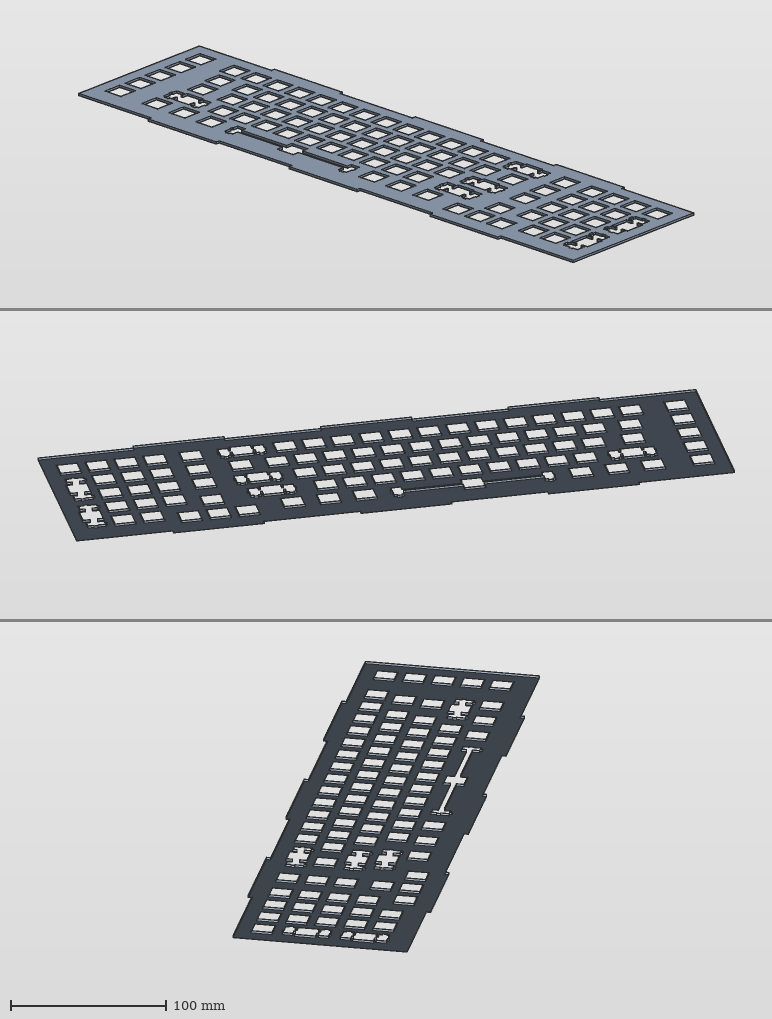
import cadquery as cq

LENGTH = 434.5
WIDTH = 120.0
THICKNESS = 1.6
TAB_LENGTH = 60.0
TAB_HEIGHT = 2.75
TAB_SPACING = 124.0

NUMBER_ROW_SPAN = 228.5
PITCH = NUMBER_ROW_SPAN / 12
FIRST_KEY_X = -171.0
MIDDLE_ROW_Y = 2.45
MACRO_COLUMN_X = -200.8
SWITCH = 14.0

STAB_OFFSET = 11.7
SPACEBAR_STAB_OFFSET = 50.0
STAB_WIDTH = 7.0
STAB_ABOVE = 5.5
STAB_BELOW = 6.5
FOOT_WIDTH = 3.0
FOOT_DEPTH = 1.5
SIDE_NOTCH_DEPTH = 1.0
SIDE_NOTCH_HEIGHT = 2.5
SIDE_NOTCH_RISE = 0.5
CHANNEL_HEIGHT = 4.8
SPACEBAR_CHANNEL_HEIGHT = 4.0

NAVIGATION_COLUMN = 15.25
NUMPAD_COLUMN = 16.5
ARROW_DROP = 0.25
TOP_ROW, TAB_ROW, MIDDLE_ROW, SHIFT_ROW, BOTTOM_ROW = range(5)


def run(first, count, step=1.0):
    """Column positions of evenly spaced keys."""
    return [first + i * step for i in range(count)]


MAIN_ROWS = [
    run(0, 13),
    [0.25] + run(1.5, 12) + [13.75],
    [0.375] + run(1.75, 11),
    run(2.25, 10),
    run(0.125, 3, 1.25) + run(10.125, 3, 1.25),
]
NUMPAD_ROWS = [
    run(NUMPAD_COLUMN, 4),
    run(NUMPAD_COLUMN, 3),
    run(NUMPAD_COLUMN, 3),
    run(NUMPAD_COLUMN, 3),
    run(NUMPAD_COLUMN + 1, 2),
]
WIDE_KEYS = [(13.5, TOP_ROW), (13.375, MIDDLE_ROW), (0.625, SHIFT_ROW), (13.125, SHIFT_ROW)]
TALL_KEYS = [(NUMPAD_COLUMN + 3, TAB_ROW + 0.5), (NUMPAD_COLUMN + 3, SHIFT_ROW + 0.5)]
SPACEBAR = (6.375, BOTTOM_ROW)


def key_centre(column, row):
    return (FIRST_KEY_X + column * PITCH, MIDDLE_ROW_Y + (MIDDLE_ROW - row) * PITCH)


def slab(x_size, y_size, x=0.0, y=0.0):
    """Rectangular block as thick as the plate, centred on (x, y)."""
    return cq.Workplane("XY").box(x_size, y_size, THICKNESS).translate((x, y, 0))


def plate():
    body = slab(LENGTH, WIDTH - 2 * TAB_HEIGHT)
    for x in (-TAB_SPACING, 0, TAB_SPACING):
        body = body.union(slab(TAB_LENGTH, WIDTH, x))
    return body


def switch_centres():
    centres = []
    for row, (main, numpad) in enumerate(zip(MAIN_ROWS, NUMPAD_ROWS)):
        centres += [key_centre(column, row) for column in main + numpad]
        centres.append((MACRO_COLUMN_X, key_centre(0, row)[1]))
    centres += [key_centre(NAVIGATION_COLUMN, row) for row in (TOP_ROW, TAB_ROW, MIDDLE_ROW)]
    centres.append(key_centre(NAVIGATION_COLUMN, SHIFT_ROW + ARROW_DROP))
    arrow_columns = run(NAVIGATION_COLUMN - 1, 3)
    centres += [key_centre(column, BOTTOM_ROW + ARROW_DROP) for column in arrow_columns]
    return centres


def stabilized_cutter(offset, channel_height):
    """Switch hole with a stabilizer hole on each side, joined by a wire channel."""
    shape = slab(SWITCH, SWITCH)
    shape = shape.union(slab(2 * offset, channel_height))
    stab_height = STAB_ABOVE + STAB_BELOW
    foot_height = STAB_BELOW + FOOT_DEPTH
    notch_length = STAB_WIDTH / 2 + SIDE_NOTCH_DEPTH
    for side in (-1, 1):
        x = side * offset
        notch_x = x + side * notch_length / 2
        shape = shape.union(slab(STAB_WIDTH, stab_height, x, (STAB_ABOVE - STAB_BELOW) / 2))
        shape = shape.union(slab(FOOT_WIDTH, foot_height, x, -foot_height / 2))
        shape = shape.union(slab(notch_length, SIDE_NOTCH_HEIGHT, notch_x, SIDE_NOTCH_RISE))
    return shape


def cut_at(body, shape, position):
    return body.cut(shape.translate((*key_centre(*position), 0)))


switches = cq.Workplane("XY").pushPoints(switch_centres()).rect(SWITCH, SWITCH)
result = plate().cut(switches.extrude(THICKNESS / 2, both=True))

wide_cutter = stabilized_cutter(STAB_OFFSET, CHANNEL_HEIGHT)
for position in WIDE_KEYS:
    result = cut_at(result, wide_cutter, position)

tall_cutter = wide_cutter.rotate((0, 0, 0), (0, 0, 1), -90)
for position in TALL_KEYS:
    result = cut_at(result, tall_cutter, position)

spacebar_cutter = stabilized_cutter(SPACEBAR_STAB_OFFSET, SPACEBAR_CHANNEL_HEIGHT)
result = cut_at(result, spacebar_cutter, SPACEBAR)